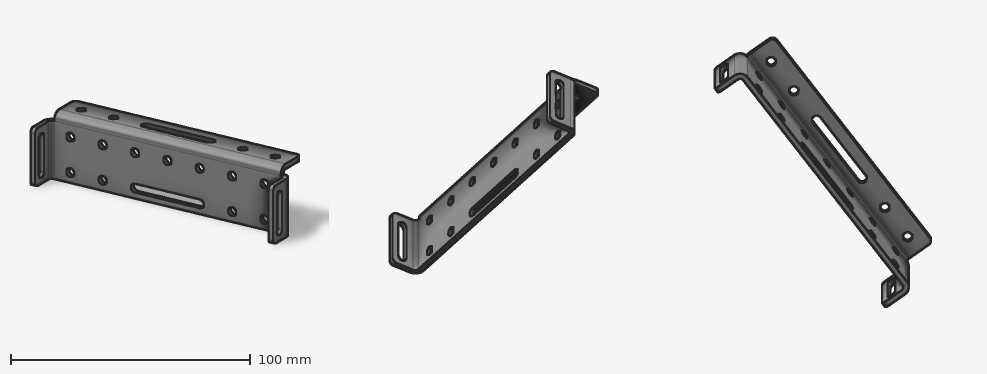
import cadquery as cq

length = 120.0
depth = 27.7
height = 30.1

thickness = 2.3
outer_radius = 4.0
inner_radius = outer_radius - thickness
corner_radius = 2.0

tab_reach = 12.0
web_height = height - outer_radius
flange_length = length - 2 * outer_radius
flange_back = depth - tab_reach

hole_diameter = 4.0
hole_pitch = 48.0 / 3
lower_row_z = 4.7
upper_row_z = lower_row_z + hole_pitch
long_slot_length = 36.0
tab_slot_length = 20.0
tab_slot_from_tip = 4.9
flange_row_from_edge = 7.2

full_row = [(i * hole_pitch, 0) for i in range(-3, 4)]
outer_row = [(i * hole_pitch, 0) for i in (-3, -2, 2, 3)]


def bent_strip(plane, start, bend, end, width):
    """Extrude an L profile whose outer sides run from start to a rounded corner and on to end.

    The profile is drawn with the outer corner at the upper left: start is the level of the lower
    end, bend is the (left, top) corner and end is the position of the right end.
    """
    left, top = bend
    inner_left = left + thickness
    inner_top = top - thickness
    return (
        cq.Workplane(plane)
        .moveTo(left, start)
        .lineTo(left, top - outer_radius)
        .radiusArc((left + outer_radius, top), outer_radius)
        .lineTo(end, top)
        .lineTo(end, inner_top)
        .lineTo(left + outer_radius, inner_top)
        .radiusArc((inner_left, top - outer_radius), -inner_radius)
        .lineTo(inner_left, start)
        .close()
        .extrude(width)
    )


def web_and_flange():
    """Upright web bent backward into the upper flange, with rounded rear flange corners."""
    plane = cq.Plane(origin=(-flange_length / 2, 0, 0), xDir=(0, 1, 0), normal=(1, 0, 0))
    strip = bent_strip(plane, 0, (0, height), flange_back, flange_length)
    return strip.edges("|Z and >Y").fillet(corner_radius)


def left_tab():
    """End of the web bent forward into a slotted tab with rounded front corners."""
    strip = bent_strip("XY", -tab_reach, (-length / 2, thickness), 0, web_height)
    strip = strip.edges("|X and <Y").fillet(corner_radius)
    slot = (
        cq.Workplane("YZ", origin=(-length / 2, 0, 0))
        .center(tab_slot_from_tip - tab_reach, (lower_row_z + upper_row_z) / 2)
        .slot2D(tab_slot_length, hole_diameter, 90)
        .extrude(thickness)
    )
    return strip.cut(slot)


def web_cutters():
    """Upper row of seven holes, and lower row of four holes around a long slot."""
    upper = cq.Workplane("XZ", origin=(0, 0, upper_row_z)).pushPoints(full_row).circle(hole_diameter / 2)
    lower = cq.Workplane("XZ", origin=(0, 0, lower_row_z)).pushPoints(outer_row).circle(hole_diameter / 2)
    slot = cq.Workplane("XZ", origin=(0, 0, lower_row_z)).slot2D(long_slot_length, hole_diameter)
    return [sketch.extrude(-thickness) for sketch in (upper, lower, slot)]


def flange_cutters():
    """Row of four holes around a long slot."""
    origin = (0, flange_back - flange_row_from_edge, height)
    holes = cq.Workplane("XY", origin=origin).pushPoints(outer_row).circle(hole_diameter / 2)
    slot = cq.Workplane("XY", origin=origin).slot2D(long_slot_length, hole_diameter)
    return [sketch.extrude(-thickness) for sketch in (holes, slot)]


tab = left_tab()
result = web_and_flange().union(tab).union(tab.mirror("YZ"))
for cutter in web_cutters() + flange_cutters():
    result = result.cut(cutter)